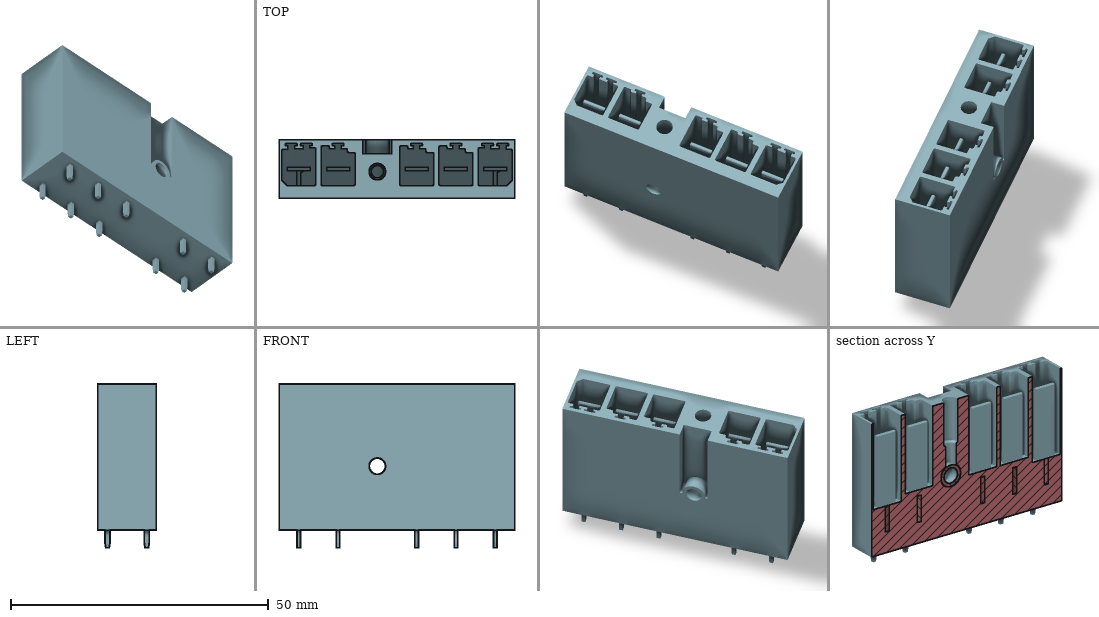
import cadquery as cq
import math


WIDTH = 45.7
DEPTH = 11.4
HEIGHT = 28.35
POSITIONS = 6
PITCH = WIDTH / POSITIONS

CELL_HALF_WIDTH = 3.3
CELL_FRONT_Y = -8.9
CELL_CORNER_RADIUS = 0.27
OUTER_WALL_CORNER_RADIUS = 0.35
OUTER_CELL_FLOOR_Z = 10.05
INNER_CELL_FLOOR_Z = 11.45
OUTER_CELL_CHAMFER = 1.0
SHELF_Y = -1.75

WALL_SHELF_Y = -1.87
INNER_SHELF_Y = -1.6
KEYWAY_OFFSET = 1.45

LEFT_STEP_X = -1.75
LEFT_STEP_Y = -1.25
RIGHT_STEP_X = 1.8
RIGHT_STEP_Y = -2.5
LEFT_STEP_RADIUS = 0.2
RIGHT_STEP_RADIUS = 0.3

KEYWAY_NECK_WIDTH = 1.3
KEYWAY_HEAD_WIDTH = 2.3
KEYWAY_BACK_Y = -0.75
KEYWAY_LIP_Y = -1.25

CONTACT_Y = -5.7
BLADE_WIDTH = 4.5
SHEET_THICKNESS = 0.75
BLADE_CHAMFER = 0.15
BLADE_TOP_Z = HEIGHT - 3.1
BEAM_BOTTOM_Z = 4.55
BEAM_BACK_TOP_Z = 7.3
BEAM_FILLET = 0.7
PIN_SPACING = PITCH
PIN_WIDTH = 1.0
PIN_TIP_WIDTH = 0.7
PIN_LENGTH = 3.47
PIN_TIP_LENGTH = 1.0

FIXING_X = -PITCH / 2
BORE_Z = 12.4
BORE_DIAMETER = 3.1
SLEEVE_RADIUS = 2.3
NOTCH_HALF_WIDTH = 2.85
NOTCH_DEPTH = 2.7
WELL_Y = -6.2
WELL_DIAMETER = 3.2
WELL_TAPER_DEPTH = 9.15
WELL_LOWER_DIAMETER = 2.42


def position_x(index):
    """Middle of a position, counted from 0 at the left end."""
    return (index + 0.5) * PITCH - WIDTH / 2


OUTER_CELLS = [(position_x(0), 1), (position_x(5), -1)]
INNER_CELL_XS = [position_x(index) for index in (1, 3, 4)]
CONTACT_XS = [position_x(index) for index in (0, 1, 3, 4, 5)]


def box(x_min, x_max, y_min, y_max, z_min, z_max):
    size = (x_max - x_min, y_max - y_min, z_max - z_min)
    return cq.Workplane("XY").box(*size, centered=False).translate((x_min, y_min, z_min))


def cylinder_along_y(x, z, radius, y_front, y_back):
    circle = cq.Workplane("XZ", origin=(x, y_back, z)).circle(radius)
    return circle.extrude(y_back - y_front)


def keyway(x, floor_z):
    """T-shaped slot with a rounded head."""
    head_length = KEYWAY_BACK_Y - KEYWAY_LIP_Y
    head_y = (KEYWAY_BACK_Y + KEYWAY_LIP_Y) / 2
    height = HEIGHT - floor_z
    head = (cq.Workplane("XY", origin=(x, head_y, floor_z))
            .slot2D(KEYWAY_HEAD_WIDTH, head_length).extrude(height))
    half_neck = KEYWAY_NECK_WIDTH / 2
    neck = box(x - half_neck, x + half_neck, WALL_SHELF_Y, head_y, floor_z, HEIGHT)
    return head.union(neck)


def outer_cell(x, side):
    """Cell at an end of the housing, with a chamfered front corner and two keyways."""
    outline = [
        (-CELL_HALF_WIDTH, WALL_SHELF_Y),
        (-KEYWAY_OFFSET, WALL_SHELF_Y),
        (-KEYWAY_OFFSET, SHELF_Y),
        (KEYWAY_OFFSET, SHELF_Y),
        (KEYWAY_OFFSET, INNER_SHELF_Y),
        (CELL_HALF_WIDTH, INNER_SHELF_Y),
        (CELL_HALF_WIDTH, CELL_FRONT_Y),
        (OUTER_CELL_CHAMFER - CELL_HALF_WIDTH, CELL_FRONT_Y),
        (-CELL_HALF_WIDTH, CELL_FRONT_Y + OUTER_CELL_CHAMFER),
    ]
    cell = (cq.Workplane("XY", origin=(x, 0, OUTER_CELL_FLOOR_Z))
            .polyline([(side * across, y) for across, y in outline]).close()
            .extrude(HEIGHT - OUTER_CELL_FLOOR_Z))
    inner_side = ">X" if side > 0 else "<X"
    wall_side = "<X" if side > 0 else ">X"
    cell = cell.faces(inner_side).edges("|Z").fillet(CELL_CORNER_RADIUS)
    cell = cell.faces(wall_side).edges("|Z").edges(">Y").fillet(OUTER_WALL_CORNER_RADIUS)
    for offset in (-KEYWAY_OFFSET, KEYWAY_OFFSET):
        cell = cell.union(keyway(x + offset, OUTER_CELL_FLOOR_Z))
    return cell


def inner_cell(x):
    """Cell with a stepped back wall and one keyway."""
    outline = [
        (-CELL_HALF_WIDTH, LEFT_STEP_Y),
        (LEFT_STEP_X, LEFT_STEP_Y),
        (LEFT_STEP_X, SHELF_Y),
        (RIGHT_STEP_X, SHELF_Y),
        (RIGHT_STEP_X, RIGHT_STEP_Y),
        (CELL_HALF_WIDTH, RIGHT_STEP_Y),
        (CELL_HALF_WIDTH, CELL_FRONT_Y),
        (-CELL_HALF_WIDTH, CELL_FRONT_Y),
    ]
    cell = (cq.Workplane("XY", origin=(x, 0, INNER_CELL_FLOOR_Z))
            .polyline(outline).close()
            .extrude(HEIGHT - INNER_CELL_FLOOR_Z))
    cell = cell.faces("<X or >X").edges("|Z").fillet(CELL_CORNER_RADIUS)
    for step_x, radius in ((LEFT_STEP_X, LEFT_STEP_RADIUS), (RIGHT_STEP_X, RIGHT_STEP_RADIUS)):
        around_step = cq.selectors.BoxSelector(
            (x + step_x - radius, RIGHT_STEP_Y - radius, 0),
            (x + step_x + radius, 0, HEIGHT),
        )
        cell = cell.edges("|Z").edges(around_step).fillet(radius)
    return cell.union(keyway(x, INNER_CELL_FLOOR_Z))


def contact(x):
    """Blade in the XZ plane on a beam in the YZ plane with a pin under each end."""
    half_beam = SHEET_THICKNESS / 2
    reach = (PIN_SPACING + PIN_WIDTH) / 2
    y_back = CONTACT_Y + reach
    y_front = CONTACT_Y - reach
    back_beam = box(-half_beam, half_beam, CONTACT_Y, y_back, BEAM_BOTTOM_Z, BEAM_BACK_TOP_Z)
    front_beam = box(-half_beam, half_beam, y_front, CONTACT_Y, BEAM_BOTTOM_Z, OUTER_CELL_FLOOR_Z)
    blade_front_y = CONTACT_Y - SHEET_THICKNESS / 2
    blade = box(-BLADE_WIDTH / 2, BLADE_WIDTH / 2, blade_front_y,
                blade_front_y + SHEET_THICKNESS, BEAM_BOTTOM_Z, BLADE_TOP_Z)
    blade = blade.faces(">Z").edges("|X").chamfer(BLADE_CHAMFER)
    diagonal = BEAM_FILLET * (1 - math.sqrt(0.5))
    web = (cq.Workplane("XY", origin=(half_beam, blade_front_y, BEAM_BOTTOM_Z))
           .lineTo(BEAM_FILLET, 0)
           .threePointArc((diagonal, -diagonal), (0, -BEAM_FILLET))
           .close().extrude(OUTER_CELL_FLOOR_Z - BEAM_BOTTOM_Z))
    body = back_beam.union(front_beam).union(blade).union(web)
    for pin_y in (y_front + PIN_WIDTH / 2, y_back - PIN_WIDTH / 2):
        body = body.union(pin(pin_y))
    return body.translate((x, 0, 0))


def pin(y):
    """Flat pin, tapered at its tip, that runs up to the underside of the beam."""
    half_width = PIN_WIDTH / 2
    half_tip = PIN_TIP_WIDTH / 2
    taper_z = PIN_TIP_LENGTH - PIN_LENGTH
    outline = [
        (y - half_width, BEAM_BOTTOM_Z),
        (y - half_width, taper_z),
        (y - half_tip, -PIN_LENGTH),
        (y + half_tip, -PIN_LENGTH),
        (y + half_width, taper_z),
        (y + half_width, BEAM_BOTTOM_Z),
    ]
    return (cq.Workplane("YZ", origin=(-SHEET_THICKNESS / 2, 0, 0))
            .polyline(outline).close().extrude(SHEET_THICKNESS))


def notch():
    """Notch in the back face; it ends in a round-bottomed trough on each side of the sleeve."""
    trough_width = NOTCH_HALF_WIDTH - SLEEVE_RADIUS
    trough_offset = SLEEVE_RADIUS + trough_width / 2
    cut = box(FIXING_X - NOTCH_HALF_WIDTH, FIXING_X + NOTCH_HALF_WIDTH,
              -NOTCH_DEPTH, 0, BORE_Z, HEIGHT)
    for offset in (-trough_offset, trough_offset):
        trough = cylinder_along_y(FIXING_X + offset, BORE_Z, trough_width / 2, -NOTCH_DEPTH, 0)
        cut = cut.union(trough)
    return cut


def well():
    """Round well from the top, narrowing to a smaller hole that ends on the sleeve."""
    radius = WELL_DIAMETER / 2
    lower_radius = WELL_LOWER_DIAMETER / 2
    taper_z = HEIGHT - WELL_TAPER_DEPTH
    outline = [
        (0, HEIGHT),
        (radius, HEIGHT),
        (radius, taper_z),
        (lower_radius, taper_z - (radius - lower_radius)),
        (lower_radius, BORE_Z),
        (0, BORE_Z),
    ]
    profile = cq.Workplane("XZ", origin=(FIXING_X, WELL_Y, 0)).polyline(outline).close()
    return profile.revolve(360, (0, 0, 0), (0, 1, 0))


def sleeve_envelope():
    return cylinder_along_y(FIXING_X, BORE_Z, SLEEVE_RADIUS, CELL_FRONT_Y, 0)


def bore():
    return cylinder_along_y(FIXING_X, BORE_Z, BORE_DIAMETER / 2, -DEPTH, 0)


def build_housing(contacts):
    body = box(-WIDTH / 2, WIDTH / 2, -DEPTH, 0, 0, HEIGHT)
    for x, side in OUTER_CELLS:
        body = body.cut(outer_cell(x, side))
    for x in INNER_CELL_XS:
        body = body.cut(inner_cell(x))
    body = body.cut(notch()).cut(well()).cut(sleeve_envelope()).cut(bore())
    for seated in contacts:
        body = body.cut(seated)
    return body


contacts = [contact(x) for x in CONTACT_XS]
sleeve = sleeve_envelope().cut(bore())
housing = build_housing(contacts)

result = cq.Compound.makeCompound([housing.val(), sleeve.val(), *[item.val() for item in contacts]])